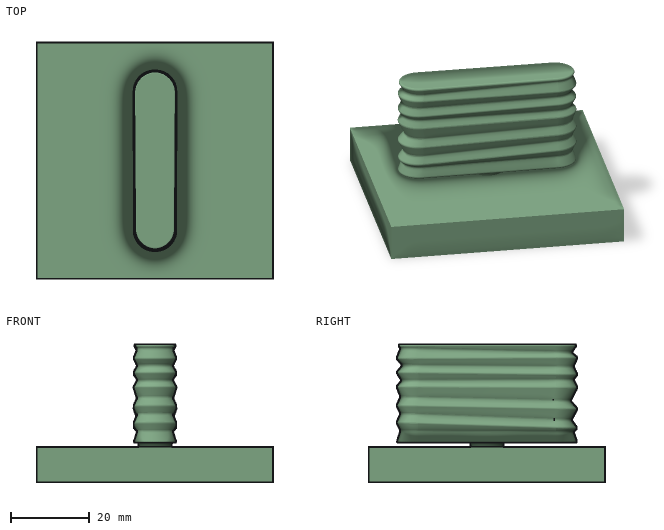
import cadquery as cq

BASE_SIDE = 60.0
BASE_HEIGHT = 9.0

GRIP_BOTTOM = 1.0
GRIP_TOP = 26.1
END_CENTRE = 17.5
RING_SPAN = 20.0
RIDGE_RADIUS = 5.5
GROOVE_RADIUS = 4.5
EDGE_ROUNDING = 0.5
RIM_ROUNDING = 0.42

RIDGES = [(4.85, 6.1), (9.75, 10.45), (15.1, 15.3), (18.4, 18.9), (22.7, 22.45)]

GROOVES = [
    (3.85, 4.1, 0.0, 0.0),
    (6.9, 8.4, 0.5, 0.0),
    (11.75, 12.65, 0.75, 0.0),
    (17.1, 16.85, 0.0, 0.25),
    (20.4, 20.7, 0.0, 0.5),
    (24.0, 25.0, 0.5, 0.0),
]

TOLERANCE = 0.01

NECK_RADIUS = 4.25
NECK_TOP_RADIUS = 4.33
NECK_STRAIGHT_HEIGHT = 0.5


def stadium(radius, z_back, z_front, cut_back=0.0, cut_front=0.0):
    """Closed stadium in a plane tilted about X; 'back' is the +Y end, 'front' the -Y end.

    Each cut moves the rounded end inwards along Y.
    """
    middle = (z_back + z_front) / 2
    slope = (z_back - z_front) / (2 * RING_SPAN)
    back = END_CENTRE - cut_back
    front = cut_front - END_CENTRE

    def point(x, y):
        return cq.Vector(x, y, middle + slope * y)

    back_right = point(radius, back)
    back_left = point(-radius, back)
    front_left = point(-radius, front)
    front_right = point(radius, front)
    return cq.Wire.assembleEdges([
        cq.Edge.makeThreePointArc(back_right, point(0, back + radius), back_left),
        cq.Edge.makeLine(back_left, front_left),
        cq.Edge.makeThreePointArc(front_left, point(0, front - radius), front_right),
        cq.Edge.makeLine(front_right, back_right),
    ])


def runs_around_grip(edge):
    """True for ridge and groove edges, False for the short seams between rings."""
    along = edge.endPoint() - edge.startPoint()
    return edge.geomType() != "LINE" or abs(along.y) > END_CENTRE


def on_rim(edge):
    """True for edges of the flat bottom and top faces."""
    box = edge.BoundingBox()
    return box.zmax < GRIP_BOTTOM + TOLERANCE or box.zmin > GRIP_TOP - TOLERANCE


def make_grip_bar():
    outlines = [stadium(RIDGE_RADIUS, GRIP_BOTTOM, GRIP_BOTTOM)]
    for groove, ridge in zip(GROOVES, RIDGES + [(GRIP_TOP, GRIP_TOP)]):
        outlines.append(stadium(GROOVE_RADIUS, *groove))
        outlines.append(stadium(RIDGE_RADIUS, *ridge))
    bar = cq.Solid.makeLoft(outlines, True)
    ring_edges = [edge for edge in bar.Edges() if runs_around_grip(edge) and not on_rim(edge)]
    bar = bar.fillet(EDGE_ROUNDING, ring_edges)
    bar = bar.fillet(RIM_ROUNDING, [edge for edge in bar.Edges() if on_rim(edge)])
    return cq.Workplane(obj=bar)


def make_neck():
    """Short cylinder that flares slightly where it meets the grip bar."""
    return (
        cq.Workplane("XZ")
        .polyline([
            (0, 0),
            (NECK_RADIUS, 0),
            (NECK_RADIUS, NECK_STRAIGHT_HEIGHT),
            (NECK_TOP_RADIUS, GRIP_BOTTOM),
            (0, GRIP_BOTTOM),
        ])
        .close()
        .revolve(360, (0, 0, 0), (0, 1, 0))
    )


def make_base():
    return cq.Workplane("XY").box(BASE_SIDE, BASE_SIDE, BASE_HEIGHT).translate((0, 0, -BASE_HEIGHT / 2))


base = make_base()
grip = make_grip_bar().union(make_neck())

result = cq.Compound.makeCompound([base.val(), *grip.solids().vals()])